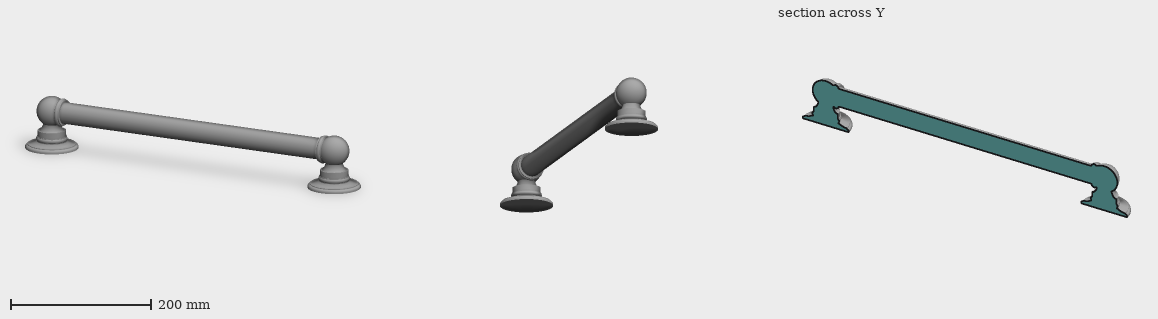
import cadquery as cq
import math

overall_length = 533.5
flange_diameter = 76.5
overall_height = 76.0

ball_radius = 22.0
bar_radius = 15.5
collar_start = 12.0
collar_end = 21.0
collar_radius = 18.5
collar_bead_radius = 20.5
collar_bead_width = 5.5

flange_radius = flange_diameter / 2
flange_edge_height = 1.5
flange_top_radius = 34.5
flange_top_height = 5.5
flange_lip = 1.0
base_foot_radius = 22.5
base_foot_height = 10.0
base_bead_radius = 21.5
base_bead_bulge = 1.0
base_bead_bottom = 11.0
base_bead_top = 16.5
base_top = 17.5
drum_radius = 20.5
drum_top = 26.0
neck_base_radius = 17.5
neck_top_radius = 12.5
neck_top_height = 36.5
post_top = 42.5

rim_bulge = 1.0
dish_sag = 0.8
neck_sag = 1.0

post_x = overall_length / 2 - flange_radius
bar_height = overall_height - ball_radius


def bowed_point(start, end, bow):
    """Point offset by bow to the right of the middle of the line from start to end."""
    run = end[0] - start[0]
    rise = end[1] - start[1]
    length = math.hypot(run, rise)
    middle_radius = (start[0] + end[0]) / 2
    middle_height = (start[1] + end[1]) / 2
    return (middle_radius + bow * rise / length, middle_height - bow * run / length)


def make_post():
    """Turned post: rounded flange, dished face, beaded base, drum and flared neck."""
    rim_start = (flange_radius, flange_edge_height)
    rim_end = (flange_top_radius, flange_top_height)
    dish_start = (flange_top_radius, flange_top_height + flange_lip)
    dish_end = (base_foot_radius, base_foot_height)
    bead_start = (base_bead_radius, base_bead_bottom)
    bead_end = (base_bead_radius, base_bead_top)
    neck_start = (neck_base_radius, drum_top)
    neck_end = (neck_top_radius, neck_top_height)
    profile = (
        cq.Workplane("XZ")
        .lineTo(flange_radius, 0)
        .lineTo(*rim_start)
        .threePointArc(bowed_point(rim_start, rim_end, rim_bulge), rim_end)
        .lineTo(*dish_start)
        .threePointArc(bowed_point(dish_start, dish_end, -dish_sag), dish_end)
        .lineTo(base_bead_radius, base_foot_height)
        .lineTo(*bead_start)
        .threePointArc(bowed_point(bead_start, bead_end, base_bead_bulge), bead_end)
        .lineTo(base_bead_radius, base_top)
        .lineTo(drum_radius, base_top)
        .lineTo(drum_radius, drum_top)
        .lineTo(*neck_start)
        .threePointArc(bowed_point(neck_start, neck_end, -neck_sag), neck_end)
        .lineTo(neck_top_radius, post_top)
        .lineTo(0, post_top)
        .close()
    )
    return profile.revolve(360, (0, 0, 0), (0, 1, 0))


def make_handle_half():
    """Ball, beaded collar and half of the bar, turned about the bar axis at the -X end."""
    ball_tip = -post_x - ball_radius
    collar_outer = -post_x + collar_start
    collar_inner = -post_x + collar_end
    collar_middle = (collar_outer + collar_inner) / 2
    bead_start = collar_middle - collar_bead_width / 2
    bead_end = collar_middle + collar_bead_width / 2
    ball_edge_radius = math.sqrt(ball_radius**2 - collar_start**2)
    profile = (
        cq.Workplane("XZ", origin=(0, 0, bar_height))
        .moveTo(ball_tip, 0)
        .threePointArc((-post_x, ball_radius), (collar_outer, ball_edge_radius))
        .lineTo(collar_outer, collar_radius)
        .lineTo(bead_start, collar_radius)
        .threePointArc((collar_middle, collar_bead_radius), (bead_end, collar_radius))
        .lineTo(collar_inner, collar_radius)
        .lineTo(collar_inner, bar_radius)
        .lineTo(0, bar_radius)
        .lineTo(0, 0)
        .close()
    )
    return profile.revolve(360, (0, 0, 0), (1, 0, 0))


left_half = make_handle_half().union(make_post().translate((-post_x, 0, 0)))
right_half = left_half.mirror("YZ")
result = left_half.union(right_half).clean()